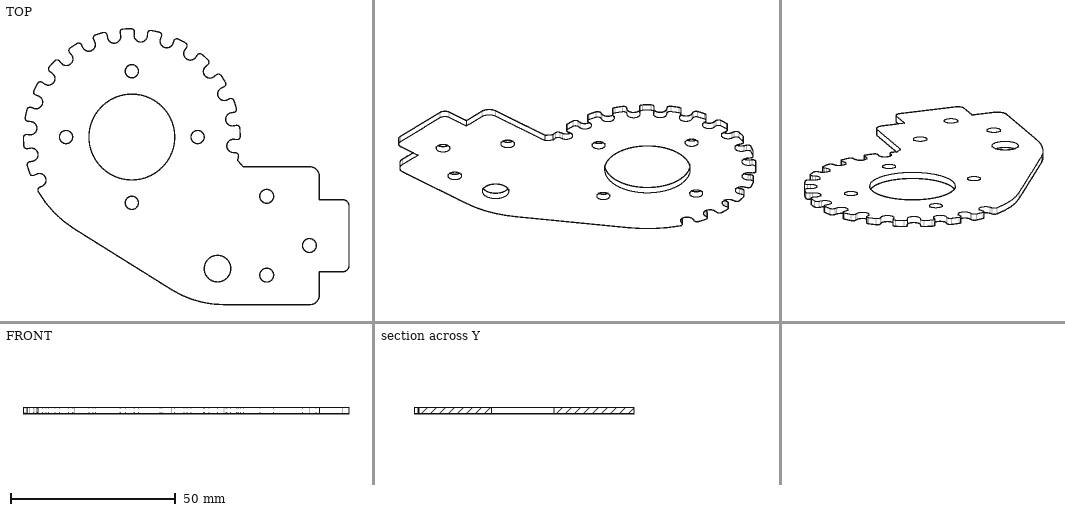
import cadquery as cq
import math

thickness = 2.0

rim_radius = 33.0
bore_diameter = 26.0
slot_radius = 2.0
slot_centre_radius = 31.0
slot_mouth_fillet = 1.0
slot_pitch_angle = 15.0
first_slot_angle = -5.0
slot_count = 15

bolt_hole_diameter = 4.0
bolt_circle_radius = 20.0
bolt_hole_count = 4

body_mid_y = -30.0
body_half_height = 21.0
body_right = 57.0
body_corner_radius = 3.0
tab_right = 66.0
tab_half_height = 11.0
tab_corner_radius = 2.0


neck_start_y = -7.1
neck_end_x = 33.9

lower_edge_slope = 32.0
lower_blend_radius = 30.0

mount_hole_diameter = 4.2
mount_pair_x = 41.0
mount_pair_half_spacing = 12.0
mount_single_x = 54.0
mount_single_y = -33.0
pivot_hole_diameter = 8.0
pivot_x = 26.0
pivot_y = -40.0

body_top = body_mid_y + body_half_height
body_bottom = body_mid_y - body_half_height
tab_top = body_mid_y + tab_half_height
tab_bottom = body_mid_y - tab_half_height


def polar(radius, angle):
    """Point at a distance and an angle in degrees from the disc centre."""
    return (radius * math.cos(math.radians(angle)), radius * math.sin(math.radians(angle)))


def make_plate():
    """Disc and body as one plate, before the slots and holes are cut."""
    neck_start = (math.sqrt(rim_radius**2 - neck_start_y**2), neck_start_y)
    neck_start_angle = math.degrees(math.asin(neck_start_y / rim_radius))

    normal_angle = 270 - lower_edge_slope
    normal_x, normal_y = polar(1, normal_angle)
    blend_y = body_bottom + lower_blend_radius
    blend_x = (rim_radius - lower_blend_radius - normal_y * blend_y) / normal_x

    def on_blend(angle):
        offset = polar(lower_blend_radius, angle)
        return (blend_x + offset[0], blend_y + offset[1])

    rim_middle_angle = (normal_angle + neck_start_angle) / 2

    plate = (
        cq.Workplane("XY")
        .moveTo(*neck_start)
        .lineTo(neck_end_x, body_top)
        .lineTo(body_right, body_top)
        .lineTo(body_right, tab_top)
        .lineTo(tab_right, tab_top)
        .lineTo(tab_right, tab_bottom)
        .lineTo(body_right, tab_bottom)
        .lineTo(body_right, body_bottom)
        .lineTo(blend_x, body_bottom)
        .threePointArc(on_blend((270 + normal_angle) / 2), on_blend(normal_angle))
        .lineTo(*polar(rim_radius, normal_angle))
        .threePointArc(polar(rim_radius, rim_middle_angle), neck_start)
        .close()
        .extrude(thickness)
    )
    return round_corners(plate)


def round_corners(plate):
    """Round the outer corners of the body and of its tab."""
    for x, half_height, radius in (
        (body_right, body_half_height, body_corner_radius),
        (tab_right, tab_half_height, tab_corner_radius),
    ):
        for y in (body_mid_y - half_height, body_mid_y + half_height):
            corner = (x, y, thickness / 2)
            plate = plate.edges(cq.selectors.NearestToPointSelector(corner)).fillet(radius)
    return plate


def make_slot():
    """Cutter for a round-bottomed slot along +X whose mouth is rounded into the rim."""
    fillet_y = slot_radius + slot_mouth_fillet
    fillet_reach = rim_radius - slot_mouth_fillet
    fillet_x = math.sqrt(fillet_reach**2 - fillet_y**2)
    rim_x = fillet_x * rim_radius / fillet_reach
    rim_y = fillet_y * rim_radius / fillet_reach
    middle_angle = (math.degrees(math.atan2(fillet_y, fillet_x)) - 90) / 2
    middle_offset = polar(slot_mouth_fillet, middle_angle)
    middle_x = fillet_x + middle_offset[0]
    middle_y = fillet_y + middle_offset[1]
    outside_x = rim_radius + slot_radius

    return (
        cq.Workplane("XY")
        .moveTo(outside_x, rim_y)
        .lineTo(rim_x, rim_y)
        .threePointArc((middle_x, middle_y), (fillet_x, slot_radius))
        .lineTo(slot_centre_radius, slot_radius)
        .threePointArc((slot_centre_radius - slot_radius, 0), (slot_centre_radius, -slot_radius))
        .lineTo(fillet_x, -slot_radius)
        .threePointArc((middle_x, -middle_y), (rim_x, -rim_y))
        .lineTo(outside_x, -rim_y)
        .close()
        .extrude(thickness)
    )


def drill(plate, diameter, centres):
    """Cut through holes of one diameter at the given centres."""
    cutters = cq.Workplane("XY").pushPoints(centres).circle(diameter / 2).extrude(thickness)
    return plate.cut(cutters)


result = make_plate()

slot = make_slot()
for index in range(slot_count):
    slot_angle = first_slot_angle + index * slot_pitch_angle
    result = result.cut(slot.rotate((0, 0, 0), (0, 0, 1), slot_angle))

bolt_centres = [polar(bolt_circle_radius, i * 360 / bolt_hole_count) for i in range(bolt_hole_count)]
mount_centres = [
    (mount_pair_x, body_mid_y + mount_pair_half_spacing),
    (mount_pair_x, body_mid_y - mount_pair_half_spacing),
    (mount_single_x, mount_single_y),
]
result = drill(result, bore_diameter, [(0, 0)])
result = drill(result, bolt_hole_diameter, bolt_centres)
result = drill(result, mount_hole_diameter, mount_centres)
result = drill(result, pivot_hole_diameter, [(pivot_x, pivot_y)])